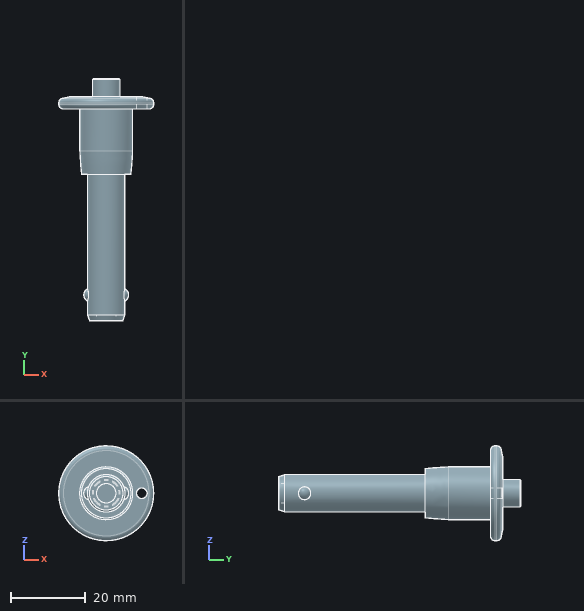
import cadquery as cq
import math

total_length = 64.7
tip_y = -total_length / 2
button_end_y = total_length / 2

button_radius = 7.4 / 2
button_length = 4.8
button_chamfer = 0.25

flange_radius = 25.4 / 2
flange_thickness = 3.35
rim_radius = 1.3
rim_band_width = 0.4
rim_rear_angle = math.radians(65)
rear_face_radius = 9.6
lanyard_hole_diameter = 2.8
lanyard_hole_x = 9.5

sleeve_radius = 14.2 / 2
sleeve_length = 11.2
taper_length = 6.2
taper_end_radius = 6.6
taper_bulge = 0.05

shank_radius = 10.0 / 2
tip_length = 1.6
tip_radius = 4.45
recess_diameter = 5.2
recess_depth = 1.6

ball_radius = 1.8
ball_reach = 6.0
ball_to_tip = 6.9

flange_rear_y = button_end_y - button_length
flange_front_y = flange_rear_y - flange_thickness
taper_start_y = flange_front_y - sleeve_length
taper_end_y = taper_start_y - taper_length


def revolve_about_y(profile):
    return profile.close().revolve(360, (0, 0, 0), (0, 1, 0))


def make_button():
    profile = (
        cq.Workplane("XY")
        .moveTo(0, flange_front_y)
        .lineTo(button_radius, flange_front_y)
        .lineTo(button_radius, button_end_y - button_chamfer)
        .lineTo(button_radius - button_chamfer, button_end_y)
        .lineTo(0, button_end_y)
    )
    return revolve_about_y(profile)


def make_flange():
    rim_center_x = flange_radius - rim_radius
    front_center_y = flange_front_y + rim_radius
    rear_center_y = front_center_y + rim_band_width

    def rear_rim_point(angle):
        return (
            rim_center_x + rim_radius * math.cos(angle),
            rear_center_y + rim_radius * math.sin(angle),
        )

    profile = (
        cq.Workplane("XY")
        .moveTo(0, flange_front_y)
        .lineTo(rim_center_x, flange_front_y)
        .radiusArc((flange_radius, front_center_y), -rim_radius)
        .lineTo(flange_radius, rear_center_y)
        .threePointArc(rear_rim_point(rim_rear_angle / 2), rear_rim_point(rim_rear_angle))
        .lineTo(rear_face_radius, flange_rear_y)
        .lineTo(0, flange_rear_y)
    )
    hole = (
        cq.Workplane("XZ", origin=(lanyard_hole_x, flange_rear_y, 0))
        .circle(lanyard_hole_diameter / 2)
        .extrude(flange_thickness)
    )
    return revolve_about_y(profile).cut(hole)


def make_sleeve():
    profile = (
        cq.Workplane("XY")
        .moveTo(0, flange_front_y)
        .lineTo(sleeve_radius, flange_front_y)
        .lineTo(sleeve_radius, taper_start_y)
        .sagittaArc((taper_end_radius, taper_end_y), taper_bulge)
        .lineTo(0, taper_end_y)
    )
    return revolve_about_y(profile)


def make_shank():
    profile = (
        cq.Workplane("XY")
        .moveTo(0, taper_end_y)
        .lineTo(shank_radius, taper_end_y)
        .lineTo(shank_radius, tip_y + tip_length)
        .lineTo(tip_radius, tip_y)
        .lineTo(recess_diameter / 2, tip_y)
        .lineTo(recess_diameter / 2, tip_y + recess_depth)
        .lineTo(0, tip_y + recess_depth)
    )
    return revolve_about_y(profile)


def make_ball(side):
    center_x = side * (ball_reach - ball_radius)
    return cq.Workplane("XY").sphere(ball_radius).translate((center_x, tip_y + ball_to_tip, 0))


result = make_flange().union(make_button()).union(make_sleeve()).union(make_shank())
for side in (-1, 1):
    result = result.union(make_ball(side))